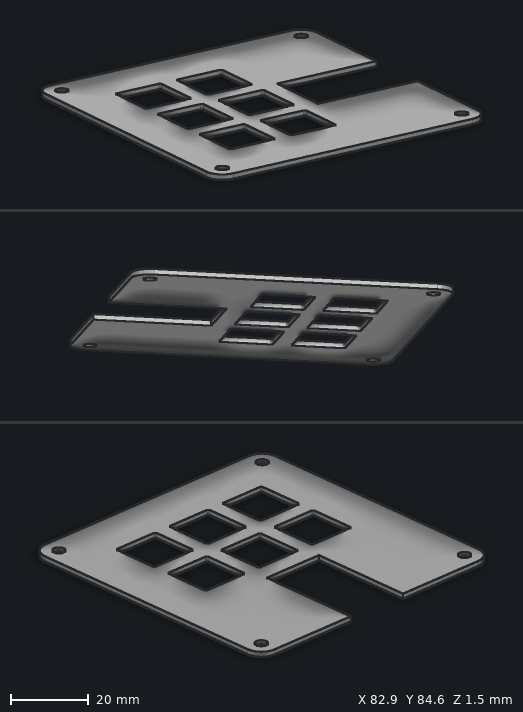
import cadquery as cq

plate_width = 82.9
plate_length = 84.6
plate_thickness = 1.5
corner_radius = 5.0

hole_diameter = 3.4

key_columns = 3
key_rows = 2
key_size = 14.05
key_pitch = 19.0
key_corner_radius = 0.5
key_grid_center_x = -0.5
bottom_row_height = 21.9

notch_width = 18.6
notch_depth = 31.0
notch_center_x = -0.2

key_grid_center_y = -plate_length / 2 + bottom_row_height + (key_rows - 1) * key_pitch / 2


def make_plate():
    """Flat plate centred on the Z axis, resting on Z = 0."""
    blank = cq.Workplane("XY").box(
        plate_width, plate_length, plate_thickness, centered=(True, True, False)
    )
    return blank.edges("|Z").fillet(corner_radius)


def make_mounting_holes():
    """Cutters for the four corner holes."""
    return (
        cq.Workplane("XY")
        .rect(
            plate_width - 2 * corner_radius,
            plate_length - 2 * corner_radius,
            forConstruction=True,
        )
        .vertices()
        .circle(hole_diameter / 2)
        .extrude(plate_thickness)
    )


def make_key_cutouts():
    """Cutters for the grid of square openings with slightly rounded corners."""
    return (
        cq.Workplane("XY")
        .center(key_grid_center_x, key_grid_center_y)
        .rarray(key_pitch, key_pitch, key_columns, key_rows)
        .rect(key_size, key_size)
        .extrude(plate_thickness)
        .edges("|Z")
        .fillet(key_corner_radius)
    )


def make_notch():
    """Cutter for the rectangular notch that opens through the back edge."""
    return (
        cq.Workplane("XY")
        .center(notch_center_x, plate_length / 2 - notch_depth / 2)
        .rect(notch_width, notch_depth)
        .extrude(plate_thickness)
    )


result = make_plate().cut(make_mounting_holes()).cut(make_key_cutouts()).cut(make_notch())